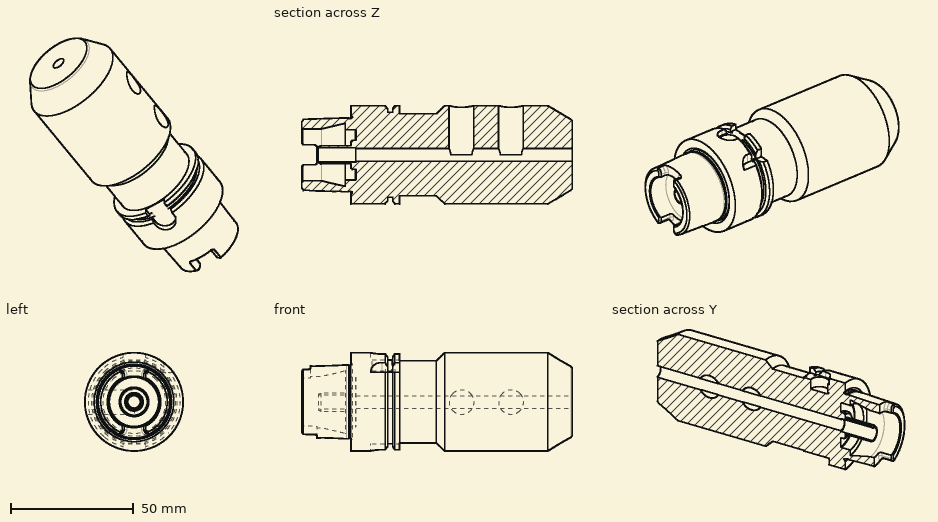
import cadquery as cq
import math

overall_length = 110.0
body_radius = 40.0 / 2

nose_chamfer = 0.7
nose_face_radius = 13.5
nose_tip_radius = 29.0 / 2
nose_base_radius = 15.1
nose_base_start = 18.0
nose_base_end = 19.0
undercut_radius = 14.8
undercut_end = 19.7
flange_start = 20.0
undercut_depth = 0.5
undercut_bottom_radius = 15.3
undercut_outer_radius = 16.2

flange_end = 39.8
groove_start = 33.9
groove_end = 37.8
groove_floor_start = 35.0
groove_floor_end = 37.0
groove_shoulder_radius = 18.7
groove_floor_radius = 34.8 / 2

neck_radius = 33.5 / 2
neck_end = 54.8
body_start = 58.1
body_end = 100.1
end_chamfer = 0.7
end_radius = 14.5

mouth_radius = 21.8 / 2
hollow_radius = 21.0 / 2
hollow_chamfer = mouth_radius - hollow_radius
grip_recess_radius = 25.5 / 2
grip_recess_start = 8.0
grip_recess_end = 17.6
floor_bore_radius = 20.4 / 2
floor_edge_radius = 20.0 / 2
hollow_depth = 22.0

collar_radius = 12.0 / 2
collar_tip_radius = 10.8 / 2
collar_height = 2.0
tube_radius = 7.5 / 2
tube_tip_radius = 6.5 / 2
tube_start = 6.8
tube_chamfer_length = 0.9
tube_bore_radius = 5.7 / 2
coolant_radius = 5.1 / 2

drive_half_width = 8.0 / 2
drive_inner_height = 11.1
drive_flare_radius = 2.0
drive_top_depth = 3.5
drive_bottom_depth = 6.2
drive_floor_fillet = 1.0
drive_mouth_chamfer = 0.8

keyway_width = 9.0
keyway_center = 32.5
keyway_floor = 17.0
dimple_radius = 8.0 / 2
dimple_depth = 4.4
notch_wall = 12.1

screw_hole_radius = 10.0 / 2
screw_positions = (64.9, 85.0)


def turned(points):
    """Revolve an (x, radius) outline about the X axis."""
    return cq.Workplane("XY").polyline(points).close().revolve(360, (0, 0, 0), (1, 0, 0))


def holder_blank():
    lip_radius = end_radius - end_chamfer
    return turned([
        (0, 0),
        (0, nose_face_radius),
        (nose_chamfer, nose_tip_radius),
        (nose_base_start, nose_base_radius),
        (nose_base_end, nose_base_radius),
        (nose_base_end, undercut_radius),
        (undercut_end, undercut_radius),
        (flange_start + undercut_depth, undercut_bottom_radius),
        (flange_start, undercut_outer_radius),
        (flange_start, body_radius),
        (groove_start, body_radius),
        (groove_floor_start, groove_shoulder_radius),
        (groove_floor_start, groove_floor_radius),
        (groove_floor_end, groove_floor_radius),
        (groove_floor_end, groove_shoulder_radius),
        (groove_end, body_radius),
        (flange_end, body_radius),
        (flange_end, neck_radius),
        (neck_end, neck_radius),
        (body_start, body_radius),
        (body_end, body_radius),
        (overall_length - end_chamfer, end_radius),
        (overall_length, lip_radius),
        (overall_length, 0),
    ])


def nose_hollow():
    """Bore of the nose, widening in a conical recess before the narrower floor."""
    floor_chamfer = floor_bore_radius - floor_edge_radius
    return turned([
        (0, 0),
        (0, mouth_radius),
        (hollow_chamfer, hollow_radius),
        (grip_recess_start, hollow_radius),
        (grip_recess_end, grip_recess_radius),
        (grip_recess_end, floor_bore_radius),
        (hollow_depth - floor_chamfer, floor_bore_radius),
        (hollow_depth, floor_edge_radius),
        (hollow_depth, 0),
    ])


def coolant_tube():
    collar_chamfer = collar_radius - collar_tip_radius
    collar_start = hollow_depth - collar_height
    return turned([
        (tube_start, 0),
        (tube_start, tube_tip_radius),
        (tube_start + tube_chamfer_length, tube_radius),
        (collar_start, tube_radius),
        (collar_start, collar_tip_radius),
        (collar_start + collar_chamfer, collar_radius),
        (hollow_depth, collar_radius),
        (hollow_depth, 0),
    ])


def coolant_passage():
    """Tube bore, then a narrower hole that runs out through the far end."""
    return turned([
        (tube_start, 0),
        (tube_start, tube_bore_radius),
        (hollow_depth, tube_bore_radius),
        (hollow_depth, coolant_radius),
        (overall_length, coolant_radius),
        (overall_length, 0),
    ])


def drive_slot_outline(widening):
    """Slot section on the nose face, with straight walls that flare outward in arcs."""
    half = drive_half_width + widening
    flare_radius = drive_flare_radius - widening
    flare_half = half + flare_radius
    flare_height = drive_inner_height + flare_radius
    bend_half = flare_half - flare_radius * math.sqrt(0.5)
    bend_height = drive_inner_height + flare_radius * math.sqrt(0.5)
    return (
        cq.Workplane("YZ")
        .moveTo(-half, 0)
        .lineTo(-half, drive_inner_height)
        .threePointArc((-bend_half, bend_height), (-flare_half, flare_height))
        .lineTo(-flare_half, body_radius)
        .lineTo(flare_half, body_radius)
        .lineTo(flare_half, flare_height)
        .threePointArc((bend_half, bend_height), (half, drive_inner_height))
        .lineTo(half, 0)
        .close()
    )


def drive_slot(depth):
    """Slot across the +Z side of the rim, filleted at its floor and chamfered at its mouth."""
    slot = drive_slot_outline(0).extrude(depth)
    slot = slot.faces(">X").edges("not(<Z or >Z)").fillet(drive_floor_fillet)
    mouth_angle = math.degrees(math.atan2(drive_mouth_chamfer, nose_chamfer))
    mouth = drive_slot_outline(drive_mouth_chamfer).extrude(nose_chamfer, taper=mouth_angle)
    return slot.union(mouth)


def keyway(center_y, floor_z):
    """Round-ended slot milled along Z, open toward the neck."""
    length = flange_end - keyway_center
    height = body_radius - floor_z
    base = cq.Workplane("XY").workplane(offset=floor_z)
    end = base.center(keyway_center, center_y).circle(keyway_width / 2).extrude(height)
    run = base.center(keyway_center + length / 2, center_y).rect(length, keyway_width).extrude(height)
    return end.union(run)


def data_chip_dimple():
    """Blind round recess in the floor of the top keyway."""
    return (
        cq.Workplane("XY")
        .workplane(offset=keyway_floor - dimple_depth)
        .center(keyway_center, 0)
        .circle(dimple_radius)
        .extrude(dimple_depth)
    )


def screw_hole(x):
    """Radial hole from the +Y side of the body to the axis."""
    return cq.Workplane("XZ").center(x, 0).circle(screw_hole_radius).extrude(-body_radius)


top_slot = drive_slot(drive_top_depth)
bottom_slot = drive_slot(drive_bottom_depth).mirror("XY")
top_keyway = keyway(0, keyway_floor)
bottom_keyway = top_keyway.mirror("XY")
notch = keyway(-notch_wall - keyway_width / 2, notch_wall)

result = holder_blank().cut(nose_hollow()).cut(top_slot).cut(bottom_slot)
result = result.union(coolant_tube())
result = result.cut(top_keyway).cut(bottom_keyway).cut(data_chip_dimple()).cut(notch)
for position in screw_positions:
    result = result.cut(screw_hole(position))
result = result.cut(coolant_passage())